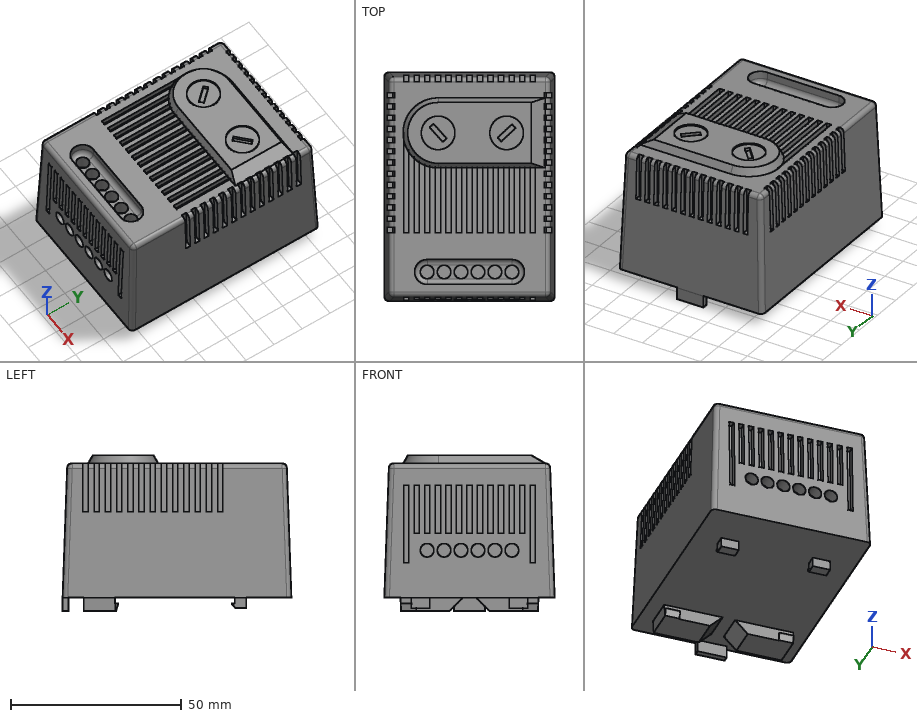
import cadquery as cq
import math

HOUSING_X = 50.05
HOUSING_Y = 67.2
HOUSING_Z = 39.45
DRAFT = 2.0
EDGE_RADIUS = 1.5
DRAFT_SLOPE = math.tan(math.radians(DRAFT))
TOP_INSET = HOUSING_Z * DRAFT_SLOPE
ROUNDING_REACH = EDGE_RADIUS * math.tan(math.radians(45 - DRAFT / 2))
FLAT_HALF_X = HOUSING_X / 2 - TOP_INSET - ROUNDING_REACH
FLAT_HALF_Y = HOUSING_Y / 2 - TOP_INSET - ROUNDING_REACH

SLOT_COUNT = 13
SLOT_WIDTH = 1.55
SLOT_PITCH_X = 3.1
SLOT_PITCH_Y = 3.3
SLOT_DEPTH = 2.0
SIDE_SLOT_DEPTH = 1.7
EDGE_SLOT_BOTTOM = 25.2
ROW_FRONT_Y = -13.45
FRONT_SLOT_TOP = 33.0
FRONT_SLOT_BOTTOM = 18.9
FRONT_END_SLOT_BOTTOM = 10.3

HOLE_COUNT = 6
HOLE_DIAMETER = 3.95
HOLE_PITCH = 5.0
HOLE_DEPTH = 5.0
FRONT_HOLE_Z = 13.9
RECESS_Y = -25.0
RECESS_WIDTH = 7.3
RECESS_DEPTH = 3.95
RECESS_FILLET = 1.6

PLATFORM_Z = 2.35
PLATFORM_RADIUS = 10.3
PLATFORM_X = -9.2
PLATFORM_Y = 15.8
PLATFORM_TOP_END_X = 18.15
PLATFORM_INSET = PLATFORM_Z * math.tan(math.radians(30))

DIAL_DIAMETER = 9.9
DIAL_DEPTH = 0.5
DIAL_SPACING = 20.1
DRIVER_SLOT_LENGTH = 5.8
DRIVER_SLOT_WIDTH = 1.55
DRIVER_SLOT_DEPTH = 1.0
LEFT_DRIVER_ANGLE = -48.0
RIGHT_DRIVER_ANGLE = 43.0

FOOT_Z = 3.95
REAR_FOOT_OUTER_X = 20.3
REAR_FOOT_TIP_OUTER_X = 20.1
REAR_FOOT_INNER_X = 5.9
REAR_FOOT_BACK_Y = 27.4
REAR_FOOT_FRONT_Y = 18.15
REAR_HOOK_INNER_X = 15.6
REAR_HOOK_TIP_Y = 17.25
REAR_HOOK_END_Y = 17.9
CLIP_OUTER_X = 17.05
CLIP_INNER_X = 11.6
CLIP_Z = 3.0
CLIP_FRONT_Y = -20.35
CLIP_BACK_Y = -16.9
CLIP_TIP_Y = -16.05
CLIP_END_Y = -17.1
HOOK_TOP_Z = 1.7
HOOK_LIP = 0.2
TAB_X = 9.15
TAB_Y = 1.8


def block(x0, x1, y0, y1, z0, z1):
    """Box between two opposite corners."""
    return cq.Workplane("XY").box(x1 - x0, y1 - y0, z1 - z0, centered=False).translate((x0, y0, z0))


def row(count, pitch):
    """Evenly spaced positions centred on zero."""
    return [(i - (count - 1) / 2) * pitch for i in range(count)]


def side_prism(points, x0, x1):
    """Prism along X with a (Y, Z) outline."""
    return cq.Workplane("YZ").polyline(points).close().extrude(x1 - x0).translate((x0, 0, 0))


def face_slot(half_depth, bottom, top, width, depth):
    """Slot cutter for a drafted face at Y = -half_depth, with its inner wall parallel to that face."""
    def wall(z):
        return -half_depth + z * DRAFT_SLOPE + depth

    outside = -half_depth - depth
    points = [(outside, bottom), (wall(bottom), bottom), (wall(top), top), (outside, top)]
    return side_prism(points, -width / 2, width / 2)


def make_housing():
    body = cq.Workplane("XY").rect(HOUSING_X, HOUSING_Y).extrude(HOUSING_Z, taper=DRAFT)
    return body.faces("not <Z").edges("not <Z").fillet(EDGE_RADIUS)


def cut_front_slots(body):
    for i, x in enumerate(row(SLOT_COUNT, SLOT_PITCH_X)):
        is_end = i in (0, SLOT_COUNT - 1)
        bottom = FRONT_END_SLOT_BOTTOM if is_end else FRONT_SLOT_BOTTOM
        slot = face_slot(HOUSING_Y / 2, bottom, FRONT_SLOT_TOP, SLOT_WIDTH, SLOT_DEPTH)
        body = body.cut(slot.translate((x, 0, 0)))
    return body


def cut_side_slots(body):
    slot = face_slot(HOUSING_X / 2, EDGE_SLOT_BOTTOM, HOUSING_Z, SLOT_WIDTH, SIDE_SLOT_DEPTH)
    left = slot.rotate((0, 0, 0), (0, 0, 1), -90)
    right = left.mirror("YZ")
    first_y = ROW_FRONT_Y + SLOT_WIDTH / 2
    for i in range(SLOT_COUNT):
        y = first_y + i * SLOT_PITCH_Y
        body = body.cut(left.translate((0, y, 0))).cut(right.translate((0, y, 0)))
    return body


def cut_rear_slots(body):
    """Slots through the rounded rear top edge, with vertical inner walls."""
    half = SLOT_WIDTH / 2
    slot = block(-half, half, FLAT_HALF_Y, HOUSING_Y / 2, EDGE_SLOT_BOTTOM, HOUSING_Z)
    for x in row(SLOT_COUNT, SLOT_PITCH_X):
        body = body.cut(slot.translate((x, 0, 0)))
    return body


def cut_top_slots(body):
    """Slots in the top face that run in under the dial platform."""
    half = SLOT_WIDTH / 2
    slot = block(-half, half, ROW_FRONT_Y, PLATFORM_Y, HOUSING_Z - SLOT_DEPTH, HOUSING_Z)
    for x in row(SLOT_COUNT, SLOT_PITCH_X):
        body = body.cut(slot.translate((x, 0, 0)))
    return body


def cut_terminals(body):
    """Row of holes in the front face, and a rounded recess with a row of holes in its floor."""
    centres = row(HOLE_COUNT, HOLE_PITCH)
    length = centres[-1] - centres[0] + RECESS_WIDTH
    floor = HOUSING_Z - RECESS_DEPTH
    floor_plane = cq.Workplane("XY", origin=(0, RECESS_Y, floor))
    recess = floor_plane.slot2D(length, RECESS_WIDTH).extrude(RECESS_DEPTH)
    body = body.cut(recess.faces("<Z").edges().fillet(RECESS_FILLET))

    top_hole = cq.Workplane("XY").circle(HOLE_DIAMETER / 2).extrude(HOLE_DEPTH)
    front_hole = top_hole.rotate((0, 0, 0), (1, 0, 0), -90)
    for x in centres:
        body = body.cut(top_hole.translate((x, RECESS_Y, floor - HOLE_DEPTH)))
        body = body.cut(front_hole.translate((x, -HOUSING_Y / 2, FRONT_HOLE_Z)))
    return body


def platform_outline(plane, radius, end_x):
    """Outline with a half circle at -X and a straight end at +X."""
    return (
        plane.moveTo(end_x, -radius)
        .lineTo(PLATFORM_X, -radius)
        .threePointArc((PLATFORM_X - radius, 0), (PLATFORM_X, radius))
        .lineTo(end_x, radius)
        .close()
    )


def make_platform():
    base = cq.Workplane("XY", origin=(0, PLATFORM_Y, HOUSING_Z))
    lower = platform_outline(base, PLATFORM_RADIUS, FLAT_HALF_X)
    upper_plane = lower.workplane(offset=PLATFORM_Z)
    upper_radius = PLATFORM_RADIUS - PLATFORM_INSET
    return platform_outline(upper_plane, upper_radius, PLATFORM_TOP_END_X).loft(ruled=True)


def cut_dials(body):
    dial_z = HOUSING_Z + PLATFORM_Z - DIAL_DEPTH
    for x, angle in ((PLATFORM_X, LEFT_DRIVER_ANGLE), (PLATFORM_X + DIAL_SPACING, RIGHT_DRIVER_ANGLE)):
        face = cq.Workplane("XY", origin=(x, PLATFORM_Y, dial_z))
        dial = face.circle(DIAL_DIAMETER / 2).extrude(DIAL_DEPTH)
        driver_slot = face.rect(DRIVER_SLOT_LENGTH, DRIVER_SLOT_WIDTH).extrude(-DRIVER_SLOT_DEPTH)
        centre = (x, PLATFORM_Y, 0)
        axis_end = (x, PLATFORM_Y, 1)
        body = body.cut(dial).cut(driver_slot.rotate(centre, axis_end, angle))
    return body


def make_rear_foot():
    """Foot on the -X side with a 45 degree inner flank and a hook at its outer front."""
    foot = (
        cq.Workplane("XZ", origin=(0, REAR_FOOT_BACK_Y, 0))
        .polyline(
            [
                (-REAR_FOOT_OUTER_X, 0),
                (-REAR_FOOT_TIP_OUTER_X, -FOOT_Z),
                (-REAR_FOOT_INNER_X, -FOOT_Z),
                (-REAR_FOOT_INNER_X + FOOT_Z, 0),
            ]
        )
        .close()
        .extrude(REAR_FOOT_BACK_Y - REAR_FOOT_FRONT_Y)
    )
    hook_points = [
        (REAR_FOOT_FRONT_Y, -HOOK_TOP_Z),
        (REAR_HOOK_TIP_Y, -HOOK_TOP_Z),
        (REAR_HOOK_TIP_Y, -HOOK_TOP_Z - HOOK_LIP),
        (REAR_HOOK_END_Y, -FOOT_Z),
        (REAR_FOOT_FRONT_Y, -FOOT_Z),
    ]
    return foot.union(side_prism(hook_points, -REAR_FOOT_TIP_OUTER_X, -REAR_HOOK_INNER_X))


def make_clip():
    """Small hooked clip on the -X side, facing the rear foot."""
    points = [
        (CLIP_FRONT_Y, 0),
        (CLIP_FRONT_Y, -CLIP_Z),
        (CLIP_END_Y, -CLIP_Z),
        (CLIP_TIP_Y, -HOOK_TOP_Z - HOOK_LIP),
        (CLIP_TIP_Y, -HOOK_TOP_Z),
        (CLIP_BACK_Y, -HOOK_TOP_Z),
        (CLIP_BACK_Y, 0),
    ]
    return side_prism(points, -CLIP_OUTER_X, -CLIP_INNER_X)


def add_feet(body):
    for foot in (make_rear_foot(), make_clip()):
        body = body.union(foot).union(foot.mirror("YZ"))
    tab = block(-TAB_X / 2, TAB_X / 2, HOUSING_Y / 2 - TAB_Y, HOUSING_Y / 2, -FOOT_Z, 0)
    return body.union(tab)


housing = make_housing()
housing = cut_front_slots(housing)
housing = cut_side_slots(housing)
housing = cut_rear_slots(housing)
housing = cut_top_slots(housing)
housing = cut_terminals(housing)
housing = housing.union(make_platform())
housing = cut_dials(housing)
result = add_feet(housing)